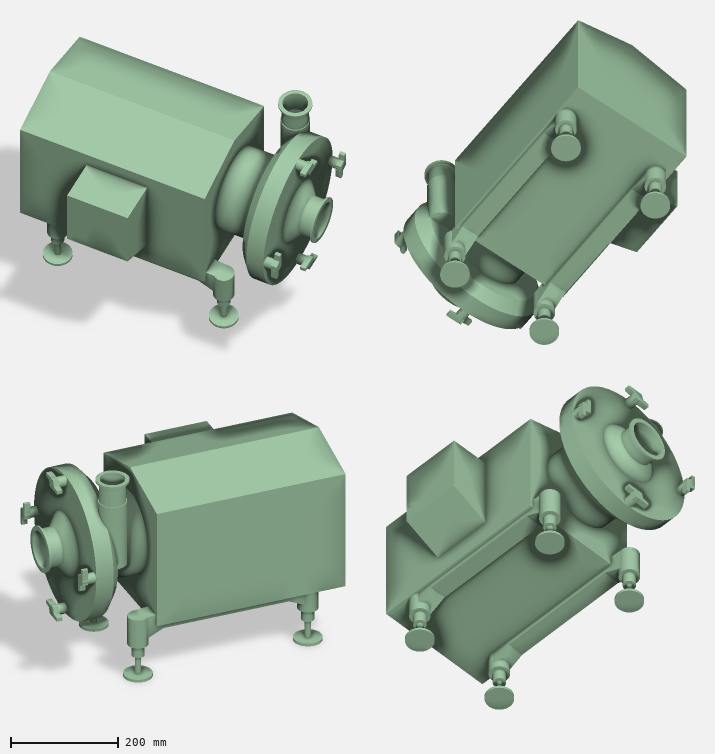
import cadquery as cq

SHAFT_HEIGHT = 250.0
OVERALL_LENGTH = 567.0
OVERALL_WIDTH = 356.0
OVERALL_HEIGHT = 430.0
OVERLAP = 5.5

COVER_LENGTH = 384.0
COVER_WIDTH = 253.0
COVER_BOTTOM = 110.0
EAVES_HEIGHT = 351.0
RIDGE_HEIGHT = 385.5

BOX_REAR = 138.5
BOX_LENGTH = 126.0
BOX_TOP = 321.0
BOX_FRONT_BOTTOM = 195.0
BOX_WALL_BOTTOM = 157.0

ADAPTER_DIAMETER = 166.0
CASING_DIAMETER = 294.0
CASING_REAR = 461.5
CASING_BEVEL_LENGTH = 19.0
CASING_BEVEL_DEPTH = 23.0
CASING_FRONT = 516.0
CONE_DIAMETER = 129.0
CONE_END = 536.5
SUCTION_DIAMETER = 76.5
SUCTION_BORE = 72.5
SUCTION_FLANGE_DIAMETER = 91.0

FLANGE_THICKNESS = 4.0
FLANGE_NECK = 1.5

DISCHARGE_X = 462.0
DISCHARGE_Y = 98.5
DISCHARGE_LOWER_DIAMETER = 55.0
DISCHARGE_UPPER_DIAMETER = 51.0
DISCHARGE_BORE = 47.5
DISCHARGE_FLANGE_DIAMETER = 64.0
DISCHARGE_STEP = 383.5

NUT_COUNT = 4
NUT_DIAMETER = 21.0
NUT_CIRCLE_RADIUS = (CASING_DIAMETER - NUT_DIAMETER) / 2
NUT_END = 544.0
WING_REAR = 532.5
WING_REACH = 25.5
WING_SHOULDER_TOP = 7.5
WING_SHOULDER_FOOT = 12.0
WING_DROP = 1.5
WING_TIP_DROP = 3.5
WING_ROOT = 4.0

FOOT_REAR_X = 67.5
FOOT_FRONT_X = 413.0
FOOT_SPACING = 208.5
FOOT_PAD_DIAMETER = 55.5
FOOT_PAD_TOP = 5.5
STEM_DIAMETER = 12.0
STEM_TOP = 43.5
COLLAR_DIAMETER = 25.0
COLLAR_TOP = 68.0
LEG_DIAMETER = 40.0
LEG_TOP = 128.5

RAIL_INNER_Y = 84.5
RAIL_OUTER_Y = 120.0
RAIL_BOTTOM = 99.0
RAIL_END_BOTTOM = 78.0
RAIL_HAUNCH = 45.5
RAIL_TOP = 131.0


def cylinder_z(x, y, bottom, top, diameter):
    return cq.Workplane("XY", origin=(x, y, bottom)).circle(diameter / 2).extrude(top - bottom)


def cylinder_x(y, z, rear, front, diameter):
    return cq.Workplane("YZ", origin=(rear, y, z)).circle(diameter / 2).extrude(front - rear)


def make_cover():
    half = COVER_WIDTH / 2
    gable = [
        (-half, COVER_BOTTOM),
        (half, COVER_BOTTOM),
        (half, EAVES_HEIGHT),
        (0, RIDGE_HEIGHT),
        (-half, EAVES_HEIGHT),
    ]
    return cq.Workplane("YZ").polyline(gable).close().extrude(COVER_LENGTH)


def make_terminal_box():
    wall_y = -COVER_WIDTH / 2
    front_y = CASING_DIAMETER / 2 - OVERALL_WIDTH
    side = [
        (wall_y + OVERLAP, BOX_TOP),
        (front_y, BOX_TOP),
        (front_y, BOX_FRONT_BOTTOM),
        (wall_y, BOX_WALL_BOTTOM),
        (wall_y + OVERLAP, BOX_WALL_BOTTOM),
    ]
    return cq.Workplane("YZ", origin=(BOX_REAR, 0, 0)).polyline(side).close().extrude(BOX_LENGTH)


def make_casing():
    casing_radius = CASING_DIAMETER / 2
    flange_rear = OVERALL_LENGTH - FLANGE_THICKNESS
    half_profile = [
        (COVER_LENGTH - OVERLAP, 0),
        (COVER_LENGTH - OVERLAP, ADAPTER_DIAMETER / 2),
        (CASING_REAR, ADAPTER_DIAMETER / 2),
        (CASING_REAR, casing_radius - CASING_BEVEL_DEPTH),
        (CASING_REAR + CASING_BEVEL_LENGTH, casing_radius),
        (CASING_FRONT, casing_radius),
        (CASING_FRONT, CONE_DIAMETER / 2),
        (CONE_END, SUCTION_DIAMETER / 2),
        (flange_rear - FLANGE_NECK, SUCTION_DIAMETER / 2),
        (flange_rear, SUCTION_DIAMETER / 2 + FLANGE_NECK),
        (flange_rear, SUCTION_FLANGE_DIAMETER / 2),
        (OVERALL_LENGTH, SUCTION_FLANGE_DIAMETER / 2),
        (OVERALL_LENGTH, 0),
    ]
    turned = cq.Workplane("XY").polyline(half_profile).close().revolve(360, (0, 0), (1, 0))
    return turned.translate((0, 0, SHAFT_HEIGHT))


def make_discharge():
    def section(bottom, top, diameter):
        return cylinder_z(DISCHARGE_X, DISCHARGE_Y, bottom, top, diameter)

    lower = section(SHAFT_HEIGHT, DISCHARGE_STEP, DISCHARGE_LOWER_DIAMETER)
    upper = section(DISCHARGE_STEP, OVERALL_HEIGHT, DISCHARGE_UPPER_DIAMETER)
    flange_bottom = OVERALL_HEIGHT - FLANGE_THICKNESS
    flange = section(flange_bottom, OVERALL_HEIGHT, DISCHARGE_FLANGE_DIAMETER)
    neck = (
        cq.Workplane("XY", origin=(DISCHARGE_X, DISCHARGE_Y, flange_bottom))
        .circle(DISCHARGE_UPPER_DIAMETER / 2 + FLANGE_NECK)
        .extrude(-FLANGE_NECK, taper=45)
    )
    bore = section(DISCHARGE_STEP, OVERALL_HEIGHT, DISCHARGE_BORE)
    return lower.union(upper).union(neck).union(flange).cut(bore)


def make_wing_nut():
    """Nut above the shaft: a round hub with two opposed, staggered wings."""
    rim = NUT_DIAMETER / 2
    centre_z = SHAFT_HEIGHT + NUT_CIRCLE_RADIUS
    outline = [
        (WING_ROOT, rim),
        (WING_SHOULDER_TOP, rim),
        (WING_SHOULDER_FOOT, -WING_DROP),
        (WING_REACH, -WING_TIP_DROP),
        (WING_REACH, -rim),
        (WING_ROOT, -rim),
    ]
    wing = (
        cq.Workplane("YZ", origin=(WING_REAR, 0, centre_z))
        .polyline(outline)
        .close()
        .extrude(NUT_END - WING_REAR)
    )
    opposite_wing = wing.rotate((0, 0, centre_z), (1, 0, centre_z), 180)
    hub = cylinder_x(0, centre_z, CASING_FRONT, NUT_END, NUT_DIAMETER)
    return hub.union(wing).union(opposite_wing)


def make_foot(x, y):
    pad = cylinder_z(x, y, 0, FOOT_PAD_TOP, FOOT_PAD_DIAMETER)
    stem = cylinder_z(x, y, FOOT_PAD_TOP, STEM_TOP, STEM_DIAMETER)
    collar = cylinder_z(x, y, STEM_TOP, COLLAR_TOP, COLLAR_DIAMETER)
    leg = cylinder_z(x, y, COLLAR_TOP, LEG_TOP, LEG_DIAMETER)
    return pad.union(stem).union(collar).union(leg)


def make_rail(inner_y):
    """Rail from leg centre to leg centre, deepened by a sloping haunch at each end."""
    side = [
        (FOOT_REAR_X, RAIL_TOP),
        (FOOT_REAR_X, RAIL_END_BOTTOM),
        (FOOT_REAR_X + RAIL_HAUNCH, RAIL_BOTTOM),
        (FOOT_FRONT_X - RAIL_HAUNCH, RAIL_BOTTOM),
        (FOOT_FRONT_X, RAIL_END_BOTTOM),
        (FOOT_FRONT_X, LEG_TOP),
        (COVER_LENGTH, RAIL_TOP),
    ]
    width = RAIL_OUTER_Y - RAIL_INNER_Y
    return cq.Workplane("XZ", origin=(0, inner_y + width, 0)).polyline(side).close().extrude(width)


result = make_cover().union(make_terminal_box()).union(make_casing()).union(make_discharge())

wing_nut = make_wing_nut()
for index in range(NUT_COUNT):
    angle = index * 360 / NUT_COUNT
    result = result.union(wing_nut.rotate((0, 0, SHAFT_HEIGHT), (1, 0, SHAFT_HEIGHT), angle))

for foot_x in (FOOT_REAR_X, FOOT_FRONT_X):
    for foot_y in (-FOOT_SPACING / 2, FOOT_SPACING / 2):
        result = result.union(make_foot(foot_x, foot_y))

for rail_inner_y in (-RAIL_OUTER_Y, RAIL_INNER_Y):
    result = result.union(make_rail(rail_inner_y))

suction_bore = cylinder_x(0, SHAFT_HEIGHT, CASING_FRONT, OVERALL_LENGTH, SUCTION_BORE)
result = result.cut(suction_bore)